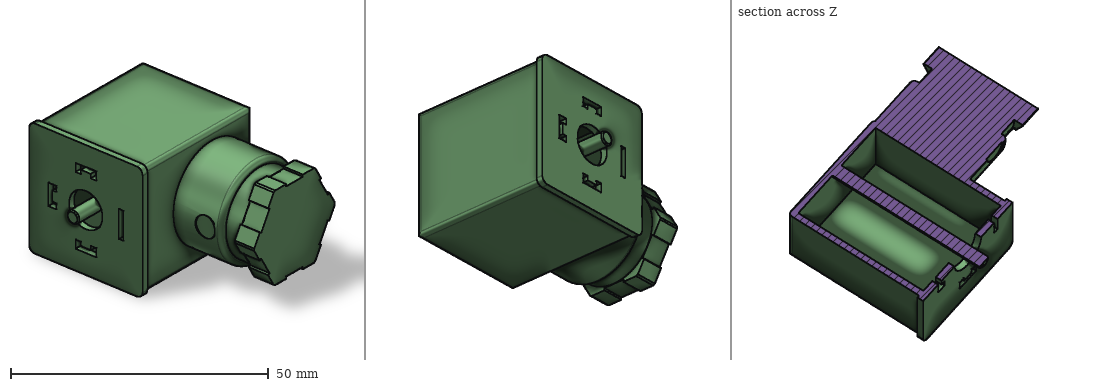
import cadquery as cq
import math

overall_length = 49.55
overall_depth = 37.35
plate_size = 29.0
plate_thickness = 1.5
plate_corner_radius = 1.5

housing_size = 27.85
housing_back = 33.25
housing_edge_radius = 1.0
wall_thickness = 1.5

pin_diameter = 3.0
pin_reach = 3.95
pin_chamfer = 0.3
opening_diameter = 8.5

slot_length = 5.25
slot_inner = 7.55
slot_outer = 9.55
slot_tab_width = 2.55
slot_tab_height = 1.0
earth_slot_length = 6.7
earth_slot_width = 1.1

gland_diameter = 23.0
gland_end_fillet = 1.1
neck_diameter = 20.0
nut_length = 4.95
neck_length = 4.0
spot_diameter = 5.0
spot_depth = 0.3
spot_to_gland_end = 4.05

nut_sides = 6
nut_corner_radius = 12.05
nut_apothem = 10.55
nut_recess_width = 4.95
nut_recess_floor = 10.05

plate_half = plate_size / 2
housing_half = housing_size / 2
nut_end_x = overall_length - plate_half
nut_start_x = nut_end_x - nut_length
gland_end_x = nut_start_x - neck_length
axis_y = overall_depth - pin_reach - nut_corner_radius
cavity_size = housing_size - 2 * wall_thickness
cavity_back = housing_back - wall_thickness


def block(x_range, y_range, z_range):
    """Box given by its lower and upper limits on each axis."""
    limits = (x_range, y_range, z_range)
    sizes = [upper - lower for lower, upper in limits]
    corner = [lower for lower, upper in limits]
    return cq.Workplane("XY").box(*sizes, centered=False).translate(tuple(corner))


def y_cylinder(diameter, y_start, y_end, x=0):
    """Cylinder parallel to Y, centred on Z = 0."""
    base = cq.Workplane("XZ", origin=(x, y_start, 0))
    return base.circle(diameter / 2).extrude(y_start - y_end)


def x_cylinder(diameter, x_start, x_end):
    """Cylinder on the cable axis."""
    base = cq.Workplane("YZ", origin=(x_start, axis_y, 0))
    return base.circle(diameter / 2).extrude(x_end - x_start)


def make_plate():
    plate = block((-plate_half, plate_half), (0, plate_thickness), (-plate_half, plate_half))
    return plate.edges("|Y").fillet(plate_corner_radius)


def make_housing():
    """Block whose rounded edges meet in mitres at the back corners."""
    side = (-housing_half, housing_half)
    blank = block(side, (plate_thickness, housing_back), side)
    rounded_sides = blank.edges("|Y").fillet(housing_edge_radius)
    rounded_back_z = blank.edges("|Z and >Y").fillet(housing_edge_radius)
    rounded_back_x = blank.edges("|X and >Y").fillet(housing_edge_radius)
    return rounded_sides.intersect(rounded_back_z).intersect(rounded_back_x)


def make_cavity():
    side = (-cavity_size / 2, cavity_size / 2)
    return block(side, (plate_thickness, cavity_back), side)


def make_pin():
    pin = y_cylinder(pin_diameter, -pin_reach, housing_back - wall_thickness / 2)
    return pin.faces("<Y").chamfer(pin_chamfer)


def make_contact_slot(angle):
    """U-shaped slot through the plate, open toward the centre, turned about Y."""
    through = (0, plate_thickness)
    half_length = slot_length / 2
    half_tab = slot_tab_width / 2
    slot = block((-half_length, half_length), through, (slot_inner, slot_outer))
    tab = block((-half_tab, half_tab), through, (slot_inner, slot_inner + slot_tab_height))
    return slot.cut(tab).rotate((0, 0, 0), (0, 1, 0), angle)


def make_earth_slot():
    half_length = earth_slot_length / 2
    x_range = (slot_outer - earth_slot_width, slot_outer)
    return block(x_range, (0, plate_thickness), (-half_length, half_length))


def make_gland():
    inside_wall_x = cavity_size / 2
    gland = x_cylinder(gland_diameter, inside_wall_x, gland_end_x)
    gland = gland.faces(">X").edges().fillet(gland_end_fillet)
    gland_front_y = axis_y - gland_diameter / 2
    spot_x = gland_end_x - spot_to_gland_end
    spot = y_cylinder(spot_diameter, gland_front_y, gland_front_y + spot_depth, spot_x)
    return gland.cut(spot).union(x_cylinder(neck_diameter, gland_end_x, nut_start_x))


def make_nut():
    hexagon_diameter = 2 * nut_apothem / math.cos(math.pi / nut_sides)
    profile = cq.Workplane("YZ", origin=(nut_start_x, axis_y, 0))
    nut = profile.polygon(nut_sides, hexagon_diameter).extrude(nut_length)
    nut = nut.intersect(x_cylinder(2 * nut_corner_radius, nut_start_x, nut_end_x))
    flat_angle = 360 / nut_sides
    half_recess = nut_recess_width / 2
    recess = block(
        (nut_start_x, nut_end_x),
        (axis_y - half_recess, axis_y + half_recess),
        (nut_recess_floor, nut_corner_radius),
    )
    for flat in range(nut_sides):
        nut = nut.cut(recess.rotate((0, axis_y, 0), (1, axis_y, 0), flat_angle * flat))
    return nut


result = make_plate().union(make_housing()).union(make_gland()).union(make_nut())
result = result.cut(make_cavity())
result = result.cut(y_cylinder(opening_diameter, 0, plate_thickness))
for slot_angle in (0, 180, -90):
    result = result.cut(make_contact_slot(slot_angle))
result = result.cut(make_earth_slot())
result = result.union(make_pin())